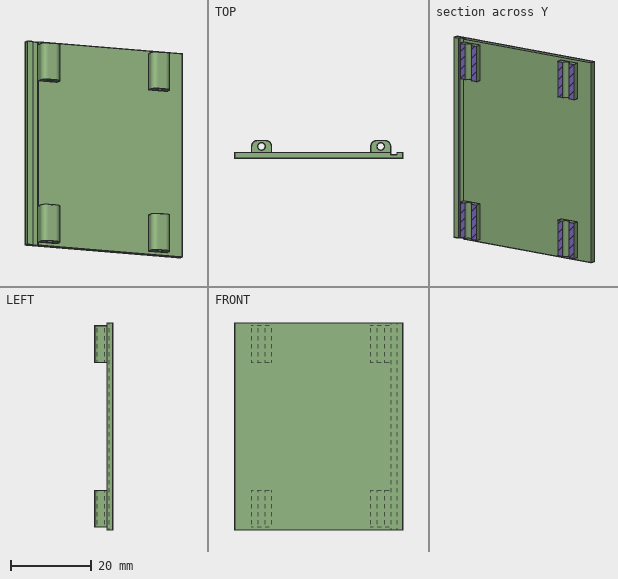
import cadquery as cq

plate_width = 42.0
plate_height = 51.8
plate_thickness = 1.5

lug_width = 5.0
lug_projection = 3.0
lug_length = 9.2
lug_corner_radius = lug_projection / 2
lug_hole_diameter = 1.8
lug_end_inset = 0.7
left_lug_inset = 4.2
right_lug_inset = 3.0

groove_width = 1.5
groove_depth = 0.5


def make_lug(left_x, bottom_z):
    """Lug along Z with rounded outer corners and a bore level with the corner arc centres."""
    lug = (
        cq.Workplane("XY")
        .box(lug_width, lug_projection, lug_length, centered=False)
        .edges("|Z and >Y")
        .fillet(lug_corner_radius)
    )
    bore = (
        cq.Workplane("XY")
        .center(lug_width / 2, lug_projection - lug_corner_radius)
        .circle(lug_hole_diameter / 2)
        .extrude(lug_length)
    )
    return lug.cut(bore).translate((left_x, plate_thickness, bottom_z))


plate = cq.Workplane("XY").box(plate_width, plate_thickness, plate_height, centered=False)

groove = (
    cq.Workplane("XY")
    .box(groove_width, groove_depth, plate_height, centered=False)
    .translate((plate_width - right_lug_inset, plate_thickness - groove_depth, 0))
)
result = plate.cut(groove)

lug_left_sides = (left_lug_inset, plate_width - right_lug_inset - lug_width)
lug_bottoms = (lug_end_inset, plate_height - lug_end_inset - lug_length)
for left_x in lug_left_sides:
    for bottom_z in lug_bottoms:
        result = result.union(make_lug(left_x, bottom_z))